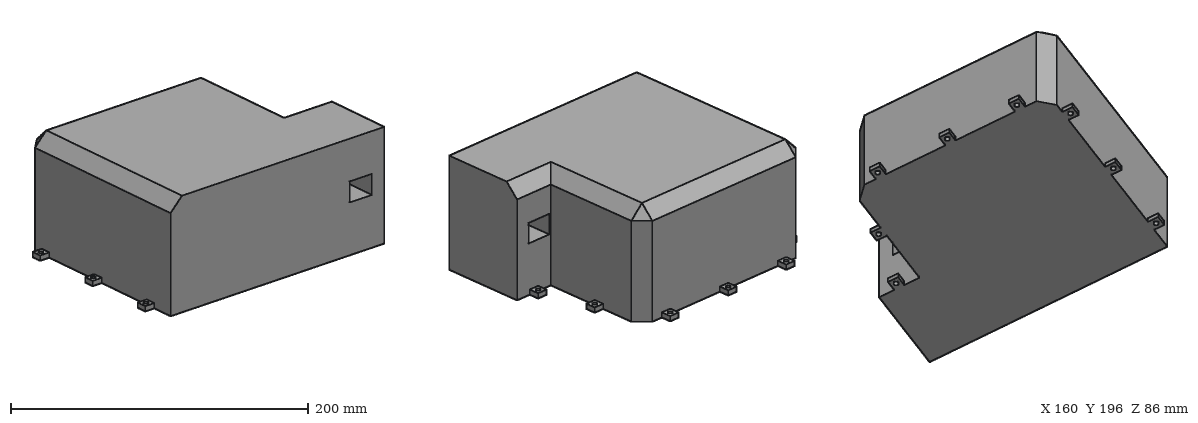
import cadquery as cq

body_length_x = 152.0
body_length_y = 188.0
body_height = 86.0
arm_width = 65.0
notch_depth = 32.0
chamfer = 10.0
main_length_y = body_length_y - notch_depth
arm_x = body_length_x - arm_width

tab_size = 8.0
tab_height = 4.0
tab_hole_diameter = 3.4
tab_pitch = 55.0
back_tab_x = 41.0

window_width = 19.5
window_height = 15.5
window_back_margin = 11.0
window_sill_z = 39.0


def chamfered_block(x_min, y_min, size_x, size_y, chamfered_edges):
    """Upright block standing on Z = 0 with the selected edges chamfered."""
    block = cq.Workplane("XY").box(size_x, size_y, body_height, centered=False)
    return block.edges(chamfered_edges).chamfer(chamfer).translate((x_min, y_min, 0))


def make_body():
    """Wide main block joined to the narrow arm that runs the full Y length."""
    main_edges = "(|Z and <X) or (#Z and >Z and (not >X))"
    arm_edges = "#Z and >Z and (not >X) and (not >Y)"
    main = chamfered_block(0, 0, body_length_x, main_length_y, main_edges)
    arm = chamfered_block(arm_x, 0, arm_width, body_length_y, arm_edges)
    return main.union(arm)


def make_tab(x, y):
    """Square tab centred on (x, y) with a vertical screw hole."""
    tab = cq.Workplane("XY").box(tab_size, tab_size, tab_height, centered=(True, True, False))
    tab = tab.faces(">Z").workplane().hole(tab_hole_diameter)
    return tab.translate((x, y, 0))


def tab_centres():
    """Three tabs on each long outer wall and one on each wall of the notch."""
    overhang = tab_size / 2
    centres = [
        (back_tab_x, main_length_y + overhang),
        (arm_x - overhang, body_length_y - notch_depth / 2),
    ]
    for step in (-1, 0, 1):
        centres.append((body_length_x / 2 + step * tab_pitch, -overhang))
        centres.append((-overhang, main_length_y / 2 + step * tab_pitch))
    return centres


def make_window():
    """Cutter for the window, as long as the arm is wide."""
    cutter = cq.Workplane("XY").box(arm_width, window_width, window_height, centered=False)
    window_y = body_length_y - window_back_margin - window_width
    return cutter.translate((arm_x, window_y, window_sill_z))


result = make_body().cut(make_window())
for tab_x, tab_y in tab_centres():
    result = result.union(make_tab(tab_x, tab_y))